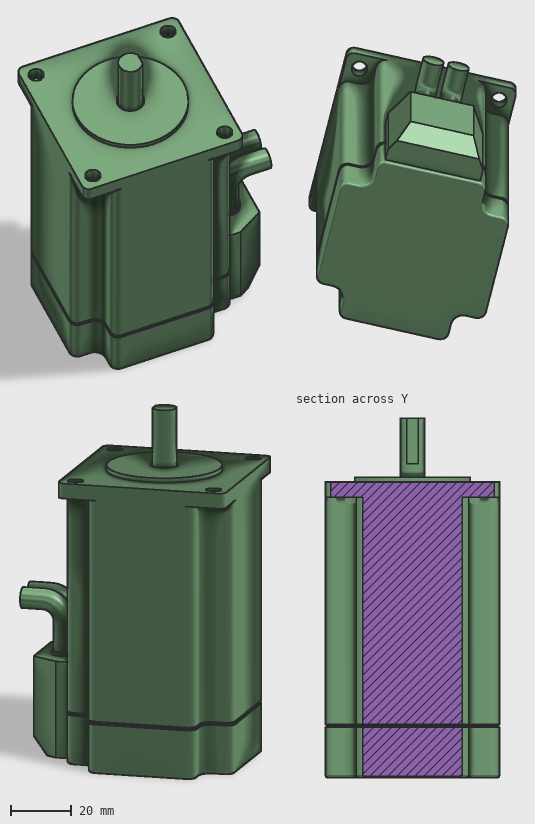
import cadquery as cq

total_height = 118.0
flange_top = 97.1
flange_thickness = 5.1
flange_bottom = flange_top - flange_thickness
pilot_height = 1.5
seam_height = 17.1

width = 57.1
flange_corner_radius = 2.5
bolt_hole_diameter = 5.1
bolt_hole_spacing = 47.1

notch_size = 10.1
notch_inner_radius = 4.0
notch_outer_radius = 3.0
bottom_radius = 1.0

seam_groove_depth = 0.3
seam_floor_height = 0.5

pilot_diameter = 38.0
shaft_diameter = 8.0
shaft_clearance_diameter = 9.1
flat_offset = 3.5
flat_length = 15.0

housing_width = 32.0
housing_outer_width = 21.2
housing_depth = 13.0
housing_side_depth = 3.9
housing_bottom = 1.5
housing_top = 34.0
housing_bottom_chamfer = 5.5

cable_diameter = 7.0
cable_spacing = 8.5
cable_offset = 4.5
cable_bend_start = 45.0
cable_bend_radius = 7.0
cable_reach = 18.5
collar_diameter = 8.0
collar_height = 1.0

back_face = width / 2
OUTER_EDGES = "|Z and (>X or <X or >Y or <Y)"
INNER_EDGES = "|Z and (not (>X or <X or >Y or <Y))"


def notched_column(bottom, top):
    """Square column whose four corners are notched and rounded."""
    column = cq.Workplane("XY").workplane(offset=bottom).rect(width, width).extrude(top - bottom)
    notches = (
        cq.Workplane("XY")
        .workplane(offset=bottom)
        .rect(width, width, forConstruction=True)
        .vertices()
        .rect(2 * notch_size, 2 * notch_size)
        .extrude(top - bottom)
    )
    column = column.cut(notches)
    column = column.edges(INNER_EDGES).fillet(notch_inner_radius)
    return column.edges(OUTER_EDGES).fillet(notch_outer_radius)


def motor_body():
    """Body and rear cover, whose bevelled rims form a groove at the seam."""
    floor_bottom = seam_height - seam_floor_height / 2
    floor_top = seam_height + seam_floor_height / 2
    body = notched_column(floor_top, flange_bottom).faces("<Z").edges().chamfer(seam_groove_depth)
    cover = notched_column(0, floor_bottom).faces("<Z").edges().fillet(bottom_radius)
    cover = cover.faces(">Z").edges().chamfer(seam_groove_depth)
    groove_floor = cover.faces(">Z").wires().toPending().extrude(seam_floor_height, combine=False)
    return body.union(cover).union(groove_floor)


def flange():
    """Mounting flange with four bolt holes and the ring-shaped pilot boss."""
    plate = (
        cq.Workplane("XY")
        .workplane(offset=flange_bottom)
        .rect(width, width)
        .extrude(flange_thickness)
        .edges("|Z")
        .fillet(flange_corner_radius)
    )
    plate = (
        plate.faces(">Z")
        .workplane()
        .rect(bolt_hole_spacing, bolt_hole_spacing, forConstruction=True)
        .vertices()
        .hole(bolt_hole_diameter)
    )
    pilot = (
        cq.Workplane("XY")
        .workplane(offset=flange_top)
        .circle(pilot_diameter / 2)
        .circle(shaft_clearance_diameter / 2)
        .extrude(pilot_height)
    )
    return plate.union(pilot)


def shaft():
    """Output shaft with a flat on its +Y side."""
    rod = (
        cq.Workplane("XY")
        .workplane(offset=flange_top)
        .circle(shaft_diameter / 2)
        .extrude(total_height - flange_top)
    )
    flat = (
        cq.Workplane("XY")
        .workplane(offset=total_height - flat_length)
        .center(0, flat_offset + shaft_diameter / 2)
        .rect(shaft_diameter, shaft_diameter)
        .extrude(flat_length)
    )
    return rod.cut(flat)


def connector_housing():
    """Tapered housing with a chamfered lower outer edge."""
    side_y = back_face + housing_side_depth
    outer_y = back_face + housing_depth
    return (
        cq.Workplane("XY")
        .workplane(offset=housing_bottom)
        .moveTo(-housing_width / 2, back_face)
        .lineTo(-housing_width / 2, side_y)
        .lineTo(-housing_outer_width / 2, outer_y)
        .lineTo(housing_outer_width / 2, outer_y)
        .lineTo(housing_width / 2, side_y)
        .lineTo(housing_width / 2, back_face)
        .close()
        .extrude(housing_top - housing_bottom)
        .faces(">Y")
        .edges("<Z")
        .chamfer(housing_bottom_chamfer)
    )


def cable(x):
    """Cable that rises from its collar and bends a quarter turn towards +Y."""
    run_y = back_face + cable_offset
    base = cq.Workplane("XY").workplane(offset=housing_top).center(x, run_y)
    collar = base.circle(collar_diameter / 2).extrude(collar_height)
    path = (
        cq.Workplane("YZ", origin=(x, 0, 0))
        .moveTo(run_y, housing_top)
        .lineTo(run_y, cable_bend_start)
        .radiusArc((run_y + cable_bend_radius, cable_bend_start + cable_bend_radius), cable_bend_radius)
        .lineTo(back_face + cable_reach, cable_bend_start + cable_bend_radius)
    )
    return base.circle(cable_diameter / 2).sweep(path).union(collar)


result = motor_body().union(flange()).union(shaft()).union(connector_housing())
for side in (-1, 1):
    result = result.union(cable(side * cable_spacing / 2))